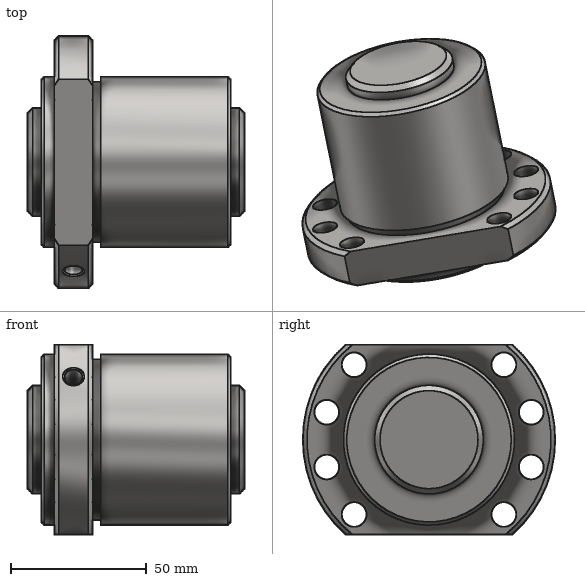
import cadquery as cq
import math

shaft_length = 80.0
shaft_diameter = 40.0
shaft_chamfer = 1.95

shaft_overhang = 5.0
nut_start = shaft_overhang
nut_end = shaft_length - shaft_overhang
nut_diameter = 63.0
nut_chamfer = 1.2

groove_diameter = 59.2
groove_width = 3.0

flange_start = 9.95
flange_width = 14.0
flange_end = flange_start + flange_width
flange_middle = flange_start + flange_width / 2
flange_diameter = 93.0
flange_height = 70.0
flange_chamfer = 1.6

bolt_hole_diameter = 9.0
bolt_circle_diameter = 77.9
bolt_angles = (15, 45)

oil_hole_diameter = 6.6
oil_hole_angle = 30
oil_hole_chamfer = 0.65


def cylinder_along_x(start, end, diameter):
    return cq.Workplane("YZ", origin=(start, 0, 0)).circle(diameter / 2).extrude(end - start)


def make_flange():
    disc = cylinder_along_x(flange_start, flange_end, flange_diameter).edges().chamfer(flange_chamfer)
    flat_limits = cq.Workplane("XY", origin=(flange_middle, 0, 0)).box(
        flange_width, flange_diameter, flange_height
    )
    return disc.intersect(flat_limits)


def make_bolt_holes():
    radius = bolt_circle_diameter / 2
    centres = []
    for angle in bolt_angles:
        y = radius * math.cos(math.radians(angle))
        z = radius * math.sin(math.radians(angle))
        centres += [(y, z), (-y, z), (-y, -z), (y, -z)]
    return (
        cq.Workplane("YZ", origin=(flange_start, 0, 0))
        .pushPoints(centres)
        .circle(bolt_hole_diameter / 2)
        .extrude(flange_width)
    )


def make_oil_hole():
    """Cutter running from the shaft axis out past the rim, with a countersink at the rim."""
    rim_radius = flange_diameter / 2
    hole_radius = oil_hole_diameter / 2
    axis_point = cq.Vector(flange_middle, 0, 0)
    angle = math.radians(oil_hole_angle)
    outward = cq.Vector(0, -math.cos(angle), math.sin(angle))
    drill = cq.Solid.makeCylinder(hole_radius, rim_radius, axis_point, outward)
    countersink = cq.Solid.makeCone(
        hole_radius,
        hole_radius + oil_hole_chamfer,
        oil_hole_chamfer,
        axis_point + outward * (rim_radius - oil_hole_chamfer),
        outward,
    )
    return cq.Workplane(drill).union(cq.Workplane(countersink))


def make_nut():
    body = cylinder_along_x(nut_start, nut_end, nut_diameter).edges().chamfer(nut_chamfer)
    groove_end = flange_end + groove_width
    groove = cylinder_along_x(flange_end, groove_end, nut_diameter).cut(
        cylinder_along_x(flange_end, groove_end, groove_diameter)
    )
    bore = cylinder_along_x(nut_start, nut_end, shaft_diameter)
    return body.cut(groove).union(make_flange()).cut(make_bolt_holes()).cut(make_oil_hole()).cut(bore)


def make_shaft():
    return cylinder_along_x(0, shaft_length, shaft_diameter).edges().chamfer(shaft_chamfer)


nut = make_nut()
shaft = make_shaft()

result = cq.Compound.makeCompound([nut.solids().val(), shaft.val()])